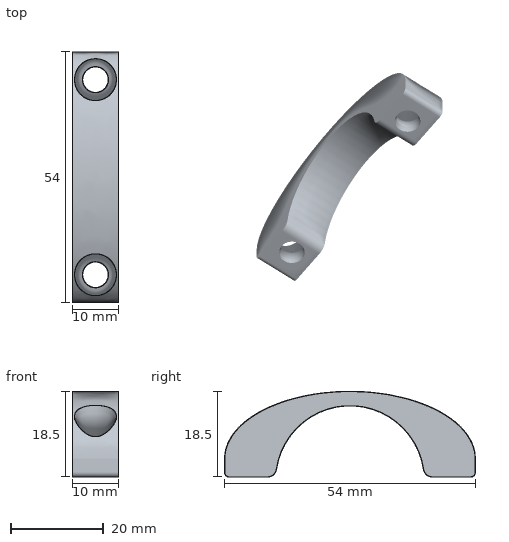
import cadquery as cq
import math

length = 54.0
width = 10.0
height = 18.45

end_height = 3.95
crown_thickness = 3.15
opening_radius = 16.0
outer_foot_radius = 1.0
inner_foot_radius = 2.0

hole_offset = 21.0
hole_diameter = 5.5
counterbore_diameter = 9.0
counterbore_floor = 4.0

half_length = length / 2
ellipse_rise = height - end_height
opening_top = height - crown_thickness
opening_center_z = opening_top - opening_radius


def make_profile():
    """Extrude the arched side profile, centred across the width."""
    round_center_z = inner_foot_radius
    center_rise = round_center_z - opening_center_z
    center_distance = opening_radius + inner_foot_radius
    round_center_y = math.sqrt(center_distance**2 - center_rise**2)
    tangent_y = round_center_y * opening_radius / center_distance
    tangent_z = opening_center_z + center_rise * opening_radius / center_distance

    tangent_angle = math.atan2(tangent_z - round_center_z, tangent_y - round_center_y)
    middle_angle = (tangent_angle % (2 * math.pi) + 1.5 * math.pi) / 2
    middle_y = round_center_y + inner_foot_radius * math.cos(middle_angle)
    middle_z = round_center_z + inner_foot_radius * math.sin(middle_angle)

    return (
        cq.Workplane("YZ", origin=(-width / 2, 0, 0))
        .moveTo(-half_length, 0)
        .lineTo(-round_center_y, 0)
        .threePointArc((-middle_y, middle_z), (-tangent_y, tangent_z))
        .threePointArc((0, opening_top), (tangent_y, tangent_z))
        .threePointArc((middle_y, middle_z), (round_center_y, 0))
        .lineTo(half_length, 0)
        .lineTo(half_length, end_height)
        .ellipseArc(half_length, ellipse_rise, 0, 180, startAtCurrent=True)
        .close()
        .extrude(width)
    )


def round_outer_feet(body):
    """Round the bottom edge at each end of the handle."""
    for end in (-1, 1):
        edge = cq.selectors.NearestToPointSelector((0, end * half_length, 0))
        body = body.edges(edge).fillet(outer_foot_radius)
    return body


def make_hole_cutter(y):
    """Through hole with a counterbore open to the curved top."""
    hole = cq.Workplane("XY").center(0, y).circle(hole_diameter / 2).extrude(height)
    counterbore = (
        cq.Workplane("XY", origin=(0, y, counterbore_floor))
        .circle(counterbore_diameter / 2)
        .extrude(height - counterbore_floor)
    )
    return hole.union(counterbore)


result = round_outer_feet(make_profile())
for hole_y in (-hole_offset, hole_offset):
    result = result.cut(make_hole_cutter(hole_y))